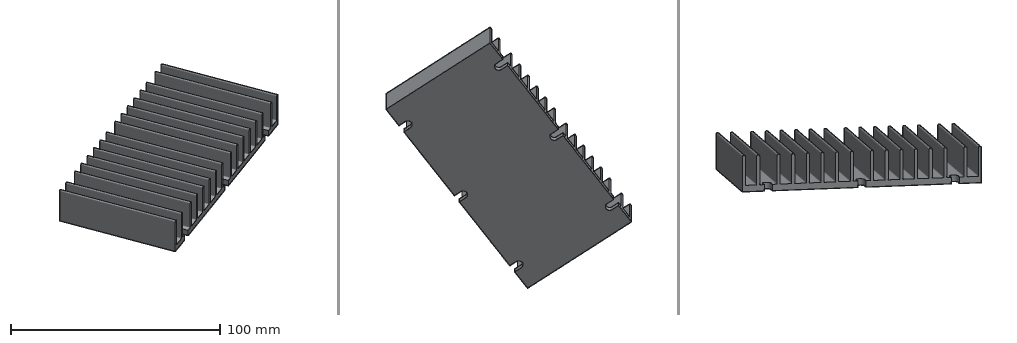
import cadquery as cq

INCH = 25.4
LENGTH_X = 2.4 * INCH
WIDTH_Y = 4.6 * INCH
HEIGHT_Z = 0.7 * INCH

BASE_THICKNESS = 0.125 * INCH
FIN_THICKNESS = 0.06 * INCH
FIN_PITCH = 0.282 * INCH
FINS_PER_GROUP = 6
ROOT_FILLET = 0.015 * INCH

SLOT_WIDTH = 0.156 * INCH
SLOT_ROUND_INSET = 0.15 * INCH
SLOT_OFFSET_Y = 1.8 * INCH

SLOT_TO_FIN_Y = (SLOT_OFFSET_Y - (FINS_PER_GROUP - 1) * FIN_PITCH) / 2


def fin_centres():
    """Y of every fin: a group of fins and an outer pair on each side of the middle."""
    group = [SLOT_TO_FIN_Y + i * FIN_PITCH for i in range(FINS_PER_GROUP)]
    beyond_outer_slot = SLOT_OFFSET_Y + SLOT_TO_FIN_Y
    flush_with_edge = WIDTH_Y / 2 - FIN_THICKNESS / 2
    one_side = group + [beyond_outer_slot, flush_with_edge]
    return [-y for y in reversed(one_side)] + one_side


def add_fin_tip(outline, y):
    """Go up to the round tip of the fin centred on y, and over it to its +Y face."""
    radius = FIN_THICKNESS / 2
    shoulder_z = HEIGHT_Z - radius
    return (
        outline
        .lineTo(y - radius, shoulder_z)
        .threePointArc((y, HEIGHT_Z), (y + radius, shoulder_z))
    )


def add_channel(outline, left_fin_y, right_fin_y):
    """Go down between two neighbouring fins and across the filleted channel floor."""
    left_face = left_fin_y + FIN_THICKNESS / 2
    right_face = right_fin_y - FIN_THICKNESS / 2
    fillet_top_z = BASE_THICKNESS + ROOT_FILLET
    return (
        outline
        .lineTo(left_face, fillet_top_z)
        .radiusArc((left_face + ROOT_FILLET, BASE_THICKNESS), -ROOT_FILLET)
        .lineTo(right_face - ROOT_FILLET, BASE_THICKNESS)
        .radiusArc((right_face, fillet_top_z), -ROOT_FILLET)
    )


def make_extrusion():
    """Base and fins, as one closed profile extruded along X."""
    fins = fin_centres()
    outline = cq.Workplane("YZ", origin=(-LENGTH_X / 2, 0, 0)).moveTo(-WIDTH_Y / 2, 0)
    outline = add_fin_tip(outline, fins[0])
    for left_fin_y, right_fin_y in zip(fins, fins[1:]):
        outline = add_channel(outline, left_fin_y, right_fin_y)
        outline = add_fin_tip(outline, right_fin_y)
    return outline.lineTo(WIDTH_Y / 2, 0).close().extrude(LENGTH_X)


def make_slot(end, y):
    """Round-ended slot through the base, open at the +X (end = 1) or -X (end = -1) face."""
    return (
        cq.Workplane("XY")
        .center(end * LENGTH_X / 2, y)
        .slot2D(2 * SLOT_ROUND_INSET + SLOT_WIDTH, SLOT_WIDTH)
        .extrude(BASE_THICKNESS)
    )


result = make_extrusion()
for slot_y in (-SLOT_OFFSET_Y, 0, SLOT_OFFSET_Y):
    for end in (-1, 1):
        result = result.cut(make_slot(end, slot_y))